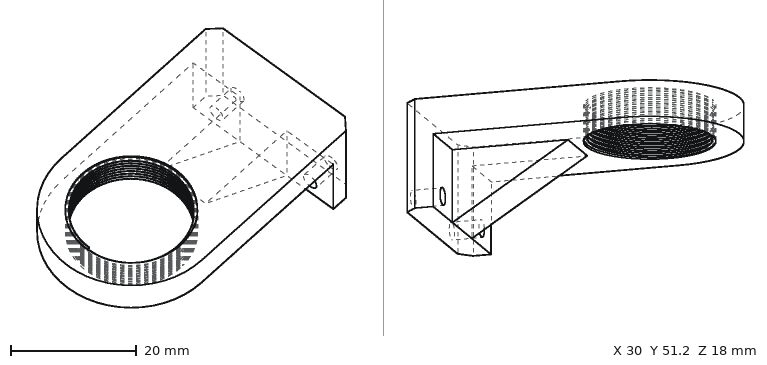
import cadquery as cq

width = 30.0
length = 51.25
height = 18.0
plate_thickness = 6.0
wall_thickness = 4.95
corner_chamfer = 1.95

gusset_width = width / 3
gusset_length = 19.3
mount_hole_diameter = 2.8
mount_hole_spacing = 2 * width / 3
mount_hole_height = plate_thickness / 2

bore_diameter = 21.0
crest_diameter = 19.9
thread_turns = 8
ridge_base = 0.35
ridge_crest = 0.1
thread_end_gap = 0.05
root_overlap = 0.05

end_radius = width / 2
back_y = length - end_radius
wall_front_y = back_y - wall_thickness
plate_bottom = height - plate_thickness


def make_plate():
    """Flat plate with a semicircular front end."""
    return (
        cq.Workplane("XY", origin=(0, 0, plate_bottom))
        .moveTo(-end_radius, back_y)
        .lineTo(-end_radius, 0)
        .threePointArc((0, -end_radius), (end_radius, 0))
        .lineTo(end_radius, back_y)
        .close()
        .extrude(plate_thickness)
    )


def make_wall():
    """Mounting wall hanging from the back of the plate."""
    return cq.Workplane("XY", origin=(0, wall_front_y, 0)).box(
        width, wall_thickness, height, centered=(True, False, False)
    )


def make_gusset():
    """Triangular web bracing the wall against the plate."""
    return (
        cq.Workplane("YZ")
        .moveTo(wall_front_y, 0)
        .lineTo(wall_front_y, plate_bottom)
        .lineTo(wall_front_y - gusset_length, plate_bottom)
        .close()
        .extrude(gusset_width / 2, both=True)
    )


def make_mount_holes():
    """Two horizontal pins that cut the screw holes through the wall."""
    return (
        cq.Workplane("XZ", origin=(0, back_y, mount_hole_height))
        .pushPoints([(-mount_hole_spacing / 2, 0), (mount_hole_spacing / 2, 0)])
        .circle(mount_hole_diameter / 2)
        .extrude(wall_thickness)
    )


def make_thread():
    """Helical ridge rooted in the bore wall, starting and ending at the front of the bore."""
    root_radius = bore_diameter / 2 + root_overlap
    crest_radius = crest_diameter / 2
    start_z = plate_bottom + thread_end_gap + ridge_base / 2
    thread_rise = plate_thickness - 2 * thread_end_gap - ridge_base
    helix = cq.Wire.makeHelix(
        thread_rise / thread_turns, thread_rise, root_radius, cq.Vector(0, 0, start_z)
    )
    return (
        cq.Workplane("XZ")
        .moveTo(root_radius, start_z - ridge_base / 2)
        .lineTo(crest_radius, start_z - ridge_crest / 2)
        .lineTo(crest_radius, start_z + ridge_crest / 2)
        .lineTo(root_radius, start_z + ridge_base / 2)
        .close()
        .sweep(cq.Workplane(helix), isFrenet=True)
        .rotate((0, 0, 0), (0, 0, 1), -90)
    )


bracket = make_plate().union(make_wall())
bracket = bracket.edges("|Z and >Y").chamfer(corner_chamfer)
bracket = bracket.union(make_gusset()).cut(make_mount_holes())
bracket = bracket.faces(">Z").workplane(origin=(0, 0, height)).hole(bore_diameter, plate_thickness)
result = bracket.union(make_thread())